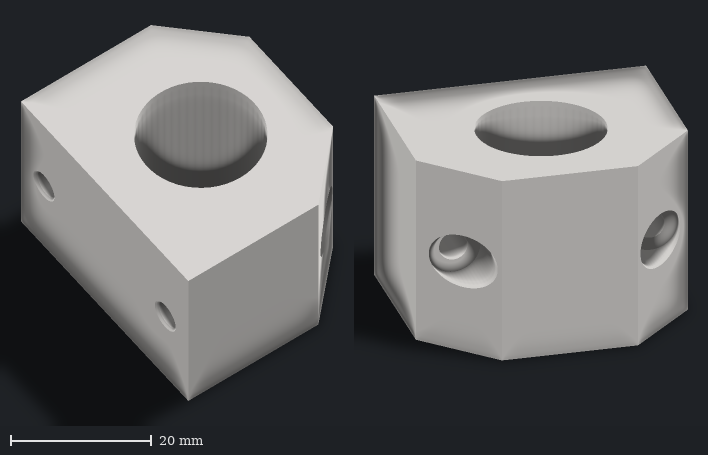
import cadquery as cq

width = 40.0
depth = 33.0
height = 28.0
corner_bevel = 10.0

bore_diameter = 19.0
bore_from_front = 17.0

screw_spacing = 29.0
screw_diameter = 4.2
countersink_diameter = 5.0
countersink_depth = (countersink_diameter - screw_diameter) / 2
counterbore_diameter = 8.0
counterbore_depth = corner_bevel

front_y = -depth / 2
back_y = depth / 2


def make_block():
    block = cq.Workplane("XY").box(width, depth, height)
    return block.edges("|Z and >Y").chamfer(corner_bevel)


def make_bore():
    bore_y = front_y + bore_from_front
    return cq.Workplane("XY").center(0, bore_y).circle(bore_diameter / 2).extrude(height, both=True)


def make_screw_hole(x):
    """Stepped cutter, revolved about its axis along Y."""
    screw_radius = screw_diameter / 2
    counterbore_radius = counterbore_diameter / 2
    floor_y = back_y - counterbore_depth
    profile = (
        cq.Workplane("XY")
        .moveTo(x, front_y)
        .lineTo(x + countersink_diameter / 2, front_y)
        .lineTo(x + screw_radius, front_y + countersink_depth)
        .lineTo(x + screw_radius, floor_y)
        .lineTo(x + counterbore_radius, floor_y)
        .lineTo(x + counterbore_radius, back_y)
        .lineTo(x, back_y)
        .close()
    )
    return profile.revolve(360, (x, front_y), (x, back_y))


result = make_block().cut(make_bore())
for side in (-1, 1):
    result = result.cut(make_screw_hole(side * screw_spacing / 2))